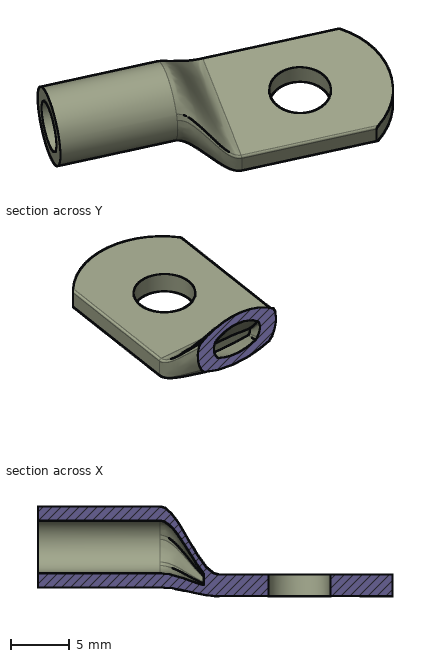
import cadquery as cq
import math

total_length = 30.48
total_height = 7.75
palm_width = 12.0
palm_thickness = 1.9
palm_edge_radius = 0.2
barrel_diameter = 7.0
bore_diameter = 4.5
barrel_length = 10.5
neck_length = 5.0
bolt_hole_diameter = 5.3
bolt_hole_to_tip = 8.0
tip_radius = 7.65

slit_width = 6.0
slit_height = 0.3
slit_corner_radius = 0.1
cavity_end_fraction = 0.25

upper_corner_angle = 22.0
lower_corner_angle = -40.0
corner_spread = 10.0
neck_section_count = 7
straight_tolerance = 1e-6

barrel_radius = barrel_diameter / 2
bore_radius = bore_diameter / 2
axis_height = total_height - barrel_radius
barrel_end_y = 0.0
neck_start_y = barrel_end_y + barrel_length
palm_start_y = neck_start_y + neck_length
tip_y = barrel_end_y + total_length
bolt_hole_y = tip_y - bolt_hole_to_tip


def rounded_rectangle_points(width, height, radius, middle_height):
    """Start and middle points of the eight edges, counter-clockwise from the right side."""
    half_width = width / 2
    half_height = height / 2
    inner_x = half_width - radius
    inner_z = half_height - radius
    diagonal = radius * math.sqrt(0.5)
    points = [
        (half_width, -inner_z), (half_width, 0),
        (half_width, inner_z), (inner_x + diagonal, inner_z + diagonal),
        (inner_x, half_height), (0, half_height),
        (-inner_x, half_height), (-inner_x - diagonal, inner_z + diagonal),
        (-half_width, inner_z), (-half_width, 0),
        (-half_width, -inner_z), (-inner_x - diagonal, -inner_z - diagonal),
        (-inner_x, -half_height), (0, -half_height),
        (inner_x, -half_height), (inner_x + diagonal, -inner_z - diagonal),
    ]
    return [(x, z + middle_height) for x, z in points]


def circle_points(radius):
    """Points on a circle about the barrel axis that match the rounded rectangle points."""
    half_spread = corner_spread / 2
    low = lower_corner_angle
    high = upper_corner_angle
    right_angles = [
        low + half_spread, (low + high) / 2,
        high - half_spread, high, high + half_spread,
    ]
    left_angles = [180 - angle for angle in reversed(right_angles)]
    angles = right_angles + [90] + left_angles
    angles += [180 - low, 180 - low + half_spread, 270, low - half_spread, low]
    return [
        (radius * math.cos(math.radians(a)), axis_height + radius * math.sin(math.radians(a)))
        for a in angles
    ]


def section_wire(flat_points, round_points, blend, y):
    """Closed section at y; blend 0 gives the flat outline and 1 the round one."""
    points = [
        cq.Vector(fx + (rx - fx) * blend, y, fz + (rz - fz) * blend)
        for (fx, fz), (rx, rz) in zip(flat_points, round_points)
    ]
    edges = []
    for i in range(0, len(points), 2):
        start = points[i]
        middle = points[i + 1]
        end = points[(i + 2) % len(points)]
        chord_height = (middle - (start + end) * 0.5).Length
        if chord_height < straight_tolerance:
            edges.append(cq.Edge.makeLine(start, end))
        else:
            edges.append(cq.Edge.makeThreePointArc(start, middle, end))
    return cq.Wire.assembleEdges(edges)


def blended_loft(flat_points, round_points, start_fraction):
    """Loft along the neck with an S-shaped blend that is level at both ends."""
    wires = []
    for i in range(neck_section_count):
        t = start_fraction + (1 - start_fraction) * i / (neck_section_count - 1)
        blend = t * t * (3 - 2 * t)
        y = palm_start_y - t * neck_length
        wires.append(section_wire(flat_points, round_points, blend, y))
    return cq.Workplane(cq.Solid.makeLoft(wires))


def make_palm():
    length = tip_y - palm_start_y
    blank = (
        cq.Workplane("XY")
        .box(palm_width, length, palm_thickness, centered=(True, False, False))
        .translate((0, palm_start_y, 0))
        .edges("|Y")
        .fillet(palm_edge_radius)
    )
    tip_disc = (
        cq.Workplane("XY")
        .center(0, tip_y - tip_radius)
        .circle(tip_radius)
        .extrude(palm_thickness)
    )
    straight = (
        cq.Workplane("XY")
        .box(palm_width, length - tip_radius, palm_thickness, centered=(True, False, False))
        .translate((0, palm_start_y, 0))
    )
    bolt_hole = (
        cq.Workplane("XY")
        .center(0, bolt_hole_y)
        .circle(bolt_hole_diameter / 2)
        .extrude(palm_thickness)
    )
    return blank.intersect(tip_disc.union(straight)).cut(bolt_hole)


def make_barrel_cylinder(radius):
    base_centre = cq.Vector(0, barrel_end_y, axis_height)
    along_y = cq.Vector(0, 1, 0)
    return cq.Workplane(cq.Solid.makeCylinder(radius, barrel_length, base_centre, along_y))


def make_neck():
    palm_outline = rounded_rectangle_points(
        palm_width, palm_thickness, palm_edge_radius, palm_thickness / 2
    )
    return blended_loft(palm_outline, circle_points(barrel_radius), 0)


def make_neck_cavity():
    slit_outline = rounded_rectangle_points(
        slit_width, slit_height, slit_corner_radius, palm_thickness / 2
    )
    return blended_loft(slit_outline, circle_points(bore_radius), cavity_end_fraction)


body = make_palm().union(make_neck()).union(make_barrel_cylinder(barrel_radius))
result = body.cut(make_barrel_cylinder(bore_radius)).cut(make_neck_cavity())